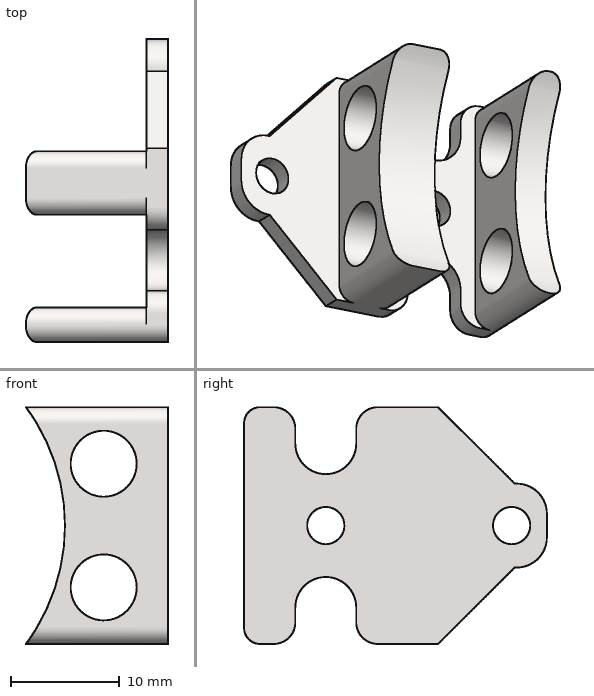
import cadquery as cq

depth = 13.08
length = 27.85
height = 21.77
half_height = height / 2

plate_thickness = 2.0
slope_start_y = 17.82
tab_half_height = 3.87
tab_corner_radius = 2.8
tab_shoulder_y = 24.85
notch_y = 7.52
notch_radius = 2.78
notch_floor_z = 4.73
notch_lip_radius = 2.0
screw_hole_diameter = 3.4
tab_hole_y = 24.58

rib_edge_radius = 1.5
outer_rib_width = 3.2
inner_rib_start_y = 11.7
inner_rib_width = 5.85
saddle_depth = 3.6
saddle_radius = (half_height**2 + saddle_depth**2) / (2 * saddle_depth)
rib_hole_diameter = 6.05
rib_hole_x = -5.93
rib_hole_z = 5.68


def plate_box(y_start, y_end, z_start, z_end):
    """Box through the plate thickness."""
    size = (plate_thickness, y_end - y_start, z_end - z_start)
    return cq.Workplane("XY").box(*size, centered=False).translate((-plate_thickness, y_start, z_start))


def plate_cylinder(y, z, radius):
    """Cylinder through the plate thickness."""
    return cq.Workplane("YZ").center(y, z).circle(radius).extrude(-plate_thickness)


def make_notch():
    """U-shaped notch with rounded lips, open at the top edge."""
    arc_z = notch_floor_z + notch_radius
    lip_z = half_height - notch_lip_radius
    notch = plate_cylinder(notch_y, arc_z, notch_radius)
    notch = notch.union(plate_box(notch_y - notch_radius, notch_y + notch_radius, arc_z, half_height))
    for side in (-1, 1):
        wall_y = notch_y + side * notch_radius
        lip_y = wall_y + side * notch_lip_radius
        lip = plate_box(min(wall_y, lip_y), max(wall_y, lip_y), lip_z, half_height)
        notch = notch.union(lip.cut(plate_cylinder(lip_y, lip_z, notch_lip_radius)))
    return notch


def make_plate():
    body = (
        cq.Workplane("YZ")
        .polyline([
            (0, -half_height),
            (slope_start_y, -half_height),
            (tab_shoulder_y, -tab_half_height),
            (tab_shoulder_y, tab_half_height),
            (slope_start_y, half_height),
            (0, half_height),
        ])
        .close()
        .extrude(-plate_thickness)
        .edges("|X and <Y")
        .fillet(rib_edge_radius)
    )
    tab = plate_box(slope_start_y, length, -tab_half_height, tab_half_height)
    tab = tab.edges("|X and >Y").fillet(tab_corner_radius)
    plate = body.union(tab)
    notch = make_notch()
    plate = plate.cut(notch).cut(notch.mirror("XY"))
    for hole_y in (notch_y, tab_hole_y):
        plate = plate.cut(plate_cylinder(hole_y, 0, screw_hole_diameter / 2))
    return plate


def make_rib(y_start, width):
    """Upright rib with rounded long edges, a concave front and two cross holes."""
    rib = (
        cq.Workplane("XY")
        .box(depth, width, height, centered=(False, False, True))
        .translate((-depth, y_start, 0))
        .edges("|X")
        .fillet(rib_edge_radius)
    )
    across = cq.Workplane("XZ", origin=(0, y_start, 0))
    saddle_x = -depth + saddle_depth - saddle_radius
    rib = rib.cut(across.center(saddle_x, 0).circle(saddle_radius).extrude(-width))
    holes = across.pushPoints([(rib_hole_x, -rib_hole_z), (rib_hole_x, rib_hole_z)])
    return rib.cut(holes.circle(rib_hole_diameter / 2).extrude(-width))


result = (
    make_plate()
    .union(make_rib(0, outer_rib_width))
    .union(make_rib(inner_rib_start_y, inner_rib_width))
)